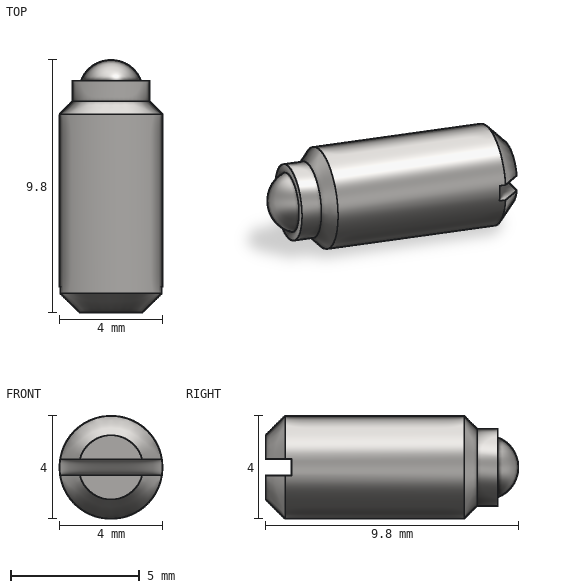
import cadquery as cq

TOTAL_LENGTH = 9.8
BODY_DIAMETER = 4.0
NOSE_DIAMETER = 3.0
NOSE_LENGTH = 0.8
SLOT_END_DIAMETER = 2.49
SLOT_WIDTH = 0.63
SLOT_DEPTH = 1.0
BALL_DIAMETER = 2.49
BALL_PROTRUSION = 0.8

body_radius = BODY_DIAMETER / 2
nose_radius = NOSE_DIAMETER / 2
slot_end_radius = SLOT_END_DIAMETER / 2
ball_radius = BALL_DIAMETER / 2

slot_end_cone = body_radius - slot_end_radius
nose_cone = body_radius - nose_radius

housing_length = TOTAL_LENGTH - BALL_PROTRUSION
nose_start = housing_length - NOSE_LENGTH
ball_center_y = TOTAL_LENGTH - ball_radius


def make_ball():
    """Full ball, held partly inside the nose."""
    return cq.Workplane("XY").sphere(ball_radius).translate((0, ball_center_y, 0))


def make_housing_blank():
    """Turned outline revolved about the Y axis."""
    return (
        cq.Workplane("XY")
        .lineTo(slot_end_radius, 0)
        .lineTo(body_radius, slot_end_cone)
        .lineTo(body_radius, nose_start - nose_cone)
        .lineTo(nose_radius, nose_start)
        .lineTo(nose_radius, housing_length)
        .lineTo(0, housing_length)
        .close()
        .revolve(360, (0, 0, 0), (0, 1, 0))
    )


def make_slot():
    """Screwdriver slot running across the full diameter in X."""
    return cq.Workplane("XY").box(
        BODY_DIAMETER, SLOT_DEPTH, SLOT_WIDTH, centered=(True, False, True)
    )


ball = make_ball()
housing = make_housing_blank().cut(make_slot()).cut(ball)

result = cq.Compound.makeCompound([housing.val(), ball.val()])